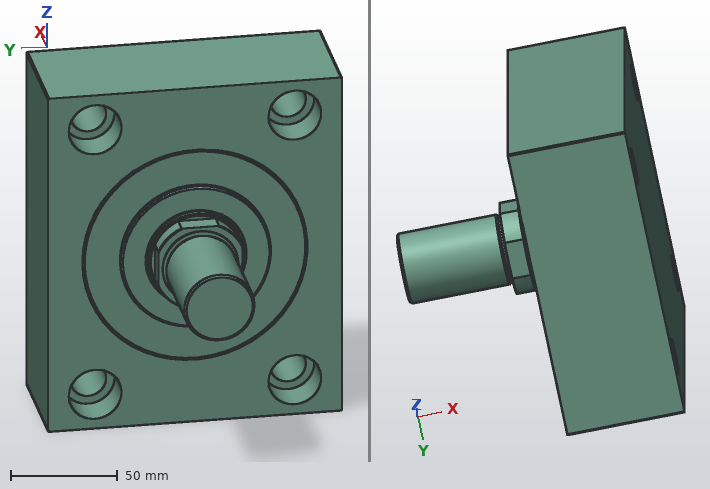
import cadquery as cq


block_length = 56.0
block_width = 140.0
block_height = 170.0
block_edge_chamfer = 0.6

hole_pitch_y = 95.0
hole_pitch_z = 135.0
hole_diameter = 17.0
counterbore_diameter = 25.0
counterbore_depth = 18.0

gland_diameter = 107.0
gland_depth = 20.0
gland_chamfer = 1.0
boss_diameter = 71.5
boss_height = 3.0
boss_chamfer_length = 1.0
boss_chamfer_radial = 0.9

wiper_diameter = 48.0
wiper_recess = 1.5
wiper_length = 5.0

wiper_front_x = -boss_height + wiper_recess
wiper_back_x = wiper_front_x + wiper_length

rod_diameter = 45.5
rod_shoulder_chamfer_length = 0.6
rod_shoulder_chamfer_radial = 0.8
rod_shoulder_x = -5.0
wrench_diameter = 43.8
wrench_chamfer = 0.25
wrench_flats = 40.0
wrench_length = 9.0
neck_diameter = 31.5
neck_length = 1.6
thread_collar_diameter = 36.0
thread_collar_height = 0.3
thread_diameter = 33.4
thread_chamfer = 1.0
tip_x = -64.0

wrench_x = rod_shoulder_x - wrench_length
thread_end_x = wrench_x - neck_length


def revolve_about_x(profile):
    """Solid of revolution about X from a closed outline of (x, radius) points."""
    return cq.Workplane("XY").polyline(profile).close().revolve(360, (0, 0, 0), (1, 0, 0))


def cylinder_along_x(diameter, start_x, end_x):
    return cq.Workplane("YZ", origin=(start_x, 0, 0)).circle(diameter / 2).extrude(end_x - start_x)


def make_housing():
    block = (
        cq.Workplane("YZ")
        .rect(block_width, block_height)
        .extrude(block_length)
        .edges("|X")
        .chamfer(block_edge_chamfer)
    )
    block = block.cut(cylinder_along_x(gland_diameter, 0, gland_depth))
    hole_places = cq.Workplane("YZ").rect(hole_pitch_y, hole_pitch_z, forConstruction=True).vertices()
    through_holes = hole_places.circle(hole_diameter / 2).extrude(block_length)
    counterbores = hole_places.circle(counterbore_diameter / 2).extrude(counterbore_depth)
    return block.cut(through_holes).cut(counterbores)


def make_gland():
    gland_radius = gland_diameter / 2
    boss_radius = boss_diameter / 2
    body = revolve_about_x([
        (-boss_height, 0),
        (-boss_height, boss_radius - boss_chamfer_radial),
        (-boss_height + boss_chamfer_length, boss_radius),
        (0, boss_radius),
        (0, gland_radius - gland_chamfer),
        (gland_chamfer, gland_radius),
        (gland_depth, gland_radius),
        (gland_depth, 0),
    ])
    wiper_seat = cylinder_along_x(wiper_diameter, -boss_height, wiper_back_x)
    rod_bore = cylinder_along_x(rod_diameter, -boss_height, gland_depth)
    return body.cut(wiper_seat).cut(rod_bore)


def make_wiper():
    ring = cylinder_along_x(wiper_diameter, wiper_front_x, wiper_back_x)
    return ring.cut(cylinder_along_x(rod_diameter, wiper_front_x, wiper_back_x))


def make_wrench_section():
    """Short cylinder with four flats, chamfered on its round stretches at the thread side."""
    radius = wrench_diameter / 2
    turned = revolve_about_x([
        (wrench_x, 0),
        (wrench_x, radius - wrench_chamfer),
        (wrench_x + wrench_chamfer, radius),
        (rod_shoulder_x, radius),
        (rod_shoulder_x, 0),
    ])
    square = (
        cq.Workplane("YZ", origin=(wrench_x, 0, 0))
        .rect(wrench_flats, wrench_flats)
        .extrude(wrench_length)
    )
    return turned.intersect(square)


def make_rod():
    rod_radius = rod_diameter / 2
    thread_radius = thread_diameter / 2
    neck_radius = neck_diameter / 2
    thread_run_out = thread_radius - neck_radius
    shaft = revolve_about_x([
        (rod_shoulder_x, 0),
        (rod_shoulder_x, rod_radius - rod_shoulder_chamfer_radial),
        (rod_shoulder_x + rod_shoulder_chamfer_length, rod_radius),
        (gland_depth, rod_radius),
        (gland_depth, 0),
    ])
    stud = revolve_about_x([
        (tip_x, 0),
        (tip_x, thread_radius - thread_chamfer),
        (tip_x + thread_chamfer, thread_radius),
        (thread_end_x - thread_run_out, thread_radius),
        (thread_end_x, neck_radius),
        (wrench_x - thread_collar_height, neck_radius),
        (wrench_x - thread_collar_height, thread_collar_diameter / 2),
        (wrench_x, thread_collar_diameter / 2),
        (wrench_x, 0),
    ])
    return shaft.union(make_wrench_section()).union(stud)


housing = make_housing()
gland = make_gland()
wiper = make_wiper()
rod = make_rod()

result = cq.Compound.makeCompound([housing.val(), gland.val(), wiper.val(), rod.val()])